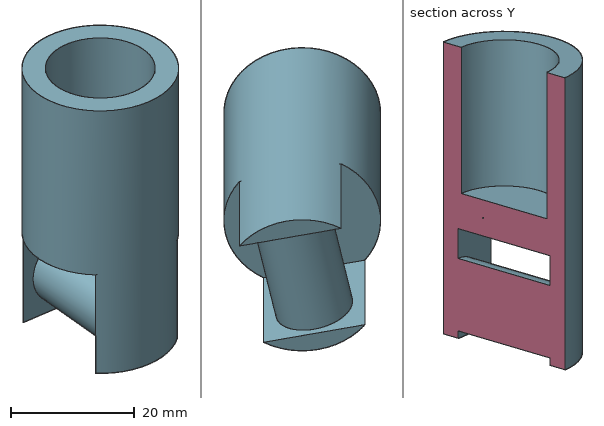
import cadquery as cq

body_diameter = 25.4
body_length = 50.8
bore_diameter = 17.78
bore_depth = 25.4
slot_width = 19.05
slot_height = 19.05
pin_diameter = 12.7
pin_center_height = 7.62


def make_body():
    """Solid round bar standing on the XY plane."""
    return cq.Workplane("XY").circle(body_diameter / 2).extrude(body_length)


def make_bore():
    """Blind bore, open at the top end."""
    return (
        cq.Workplane("XY")
        .workplane(offset=body_length - bore_depth)
        .circle(bore_diameter / 2)
        .extrude(bore_depth)
    )


def make_slot():
    """Slot running through along Y, open at the bottom end."""
    return cq.Workplane("XY").box(
        slot_width, body_diameter, slot_height, centered=(True, True, False)
    )


def make_pin():
    """Cross pin along X that bridges the gap between the legs."""
    return (
        cq.Workplane("YZ")
        .workplane(offset=-slot_width / 2)
        .center(0, pin_center_height)
        .circle(pin_diameter / 2)
        .extrude(slot_width)
    )


result = make_body().cut(make_bore()).cut(make_slot()).union(make_pin())